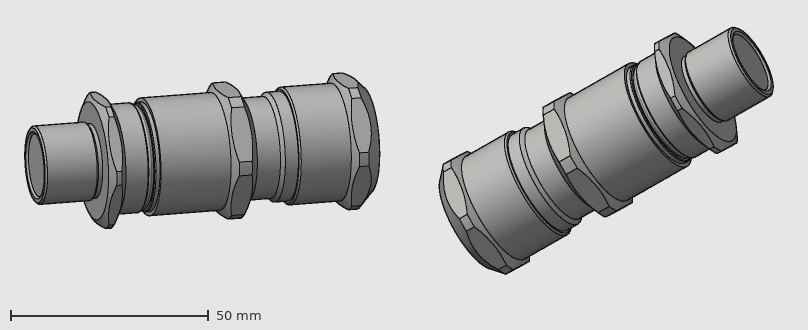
import cadquery as cq
import math

length = 86.9

across_flats = 32.0
corner_diameter = 35.0
collar_bevel_angle = 30.0

back_face_diameter = 27.0
sleeve_diameter = 30.0
sleeve_lip_diameter = 29.0
shoulder_diameter = 28.0
waist_diameter = 26.0
ring_diameter = 27.0
spigot_diameter = 20.0
neck_diameter = 19.0
bore_mouth_diameter = 17.1
bore_floor_diameter = 16.0

back_sleeve_start = 7.9
back_sleeve_end = 21.55
shoulder_end = 26.0
middle_collar_start = 32.1
middle_sleeve_start = 39.5
middle_sleeve_end = 58.0
groove_start = 59.3
groove_end = 60.8
front_collar_start = 66.9
front_collar_end = 71.8
spigot_start = 73.35

groove_bevel = 0.3


def bevel_length(large_diameter, small_diameter, angle=45.0):
    """Axial length of a cone between two diameters, at an angle to the end plane."""
    return (large_diameter - small_diameter) / 2 * math.tan(math.radians(angle))


def collar_bevel(end_diameter):
    return bevel_length(corner_diameter, end_diameter, collar_bevel_angle)


def revolve_about_axis(stations):
    """Revolve (distance from back, diameter) stations into a solid around Y."""
    points = [(diameter / 2, length - distance) for distance, diameter in stations]
    first_distance = stations[0][0]
    last_distance = stations[-1][0]
    outline = [(0, length - first_distance)] + points + [(0, length - last_distance)]
    return cq.Workplane("XY").polyline(outline).close().revolve(360, (0, 0, 0), (0, 1, 0))


def hexagon_collar(start, end, start_diameter, end_diameter, start_bevel):
    """Hexagon with flats facing +Z and -Z, turned down at its corners and both ends."""
    turned = revolve_about_axis([
        (start, start_diameter),
        (start + start_bevel, corner_diameter),
        (end - collar_bevel(end_diameter), corner_diameter),
        (end, end_diameter),
    ])
    hexagon = (
        cq.Workplane("XZ", origin=(0, length - start, 0))
        .polygon(6, across_flats / math.cos(math.radians(30)))
        .extrude(end - start)
    )
    return turned.intersect(hexagon)


def back_body():
    """Sleeve behind the middle collar, stepping down to the waist."""
    lip_bevel = bevel_length(sleeve_diameter, sleeve_lip_diameter)
    shoulder_bevel = bevel_length(shoulder_diameter, waist_diameter)
    return revolve_about_axis([
        (back_sleeve_start, sleeve_diameter),
        (back_sleeve_end - lip_bevel, sleeve_diameter),
        (back_sleeve_end, sleeve_lip_diameter),
        (back_sleeve_end, shoulder_diameter),
        (shoulder_end - shoulder_bevel, shoulder_diameter),
        (shoulder_end, waist_diameter),
        (middle_collar_start, waist_diameter),
    ])


def front_body():
    """Sleeve ahead of the middle collar and the grooved shoulder up to the front collar."""
    groove_diameter = waist_diameter
    return revolve_about_axis([
        (middle_sleeve_start, sleeve_diameter),
        (middle_sleeve_end, sleeve_diameter),
        (middle_sleeve_end, shoulder_diameter),
        (groove_start - groove_bevel, shoulder_diameter),
        (groove_start, shoulder_diameter - 2 * groove_bevel),
        (groove_start, groove_diameter),
        (groove_end, groove_diameter),
        (groove_end, shoulder_diameter - 2 * groove_bevel),
        (groove_end + groove_bevel, shoulder_diameter),
        (front_collar_start, shoulder_diameter),
    ])


def sealing_ring():
    """Round-section ring as wide as the groove it sits in."""
    section_radius = (groove_end - groove_start) / 2
    center_radius = ring_diameter / 2 - section_radius
    center_distance = (groove_start + groove_end) / 2
    return (
        cq.Workplane("XY")
        .center(center_radius, length - center_distance)
        .circle(section_radius)
        .revolve(360, (-center_radius, 0, 0), (-center_radius, 1, 0))
    )


def spigot():
    """Undercut neck and spigot with a beveled tip and a shallow conical recess."""
    bevel = bevel_length(spigot_diameter, neck_diameter)
    recess_depth = bevel_length(bore_mouth_diameter, bore_floor_diameter)
    outside = revolve_about_axis([
        (front_collar_end, neck_diameter),
        (spigot_start - bevel, neck_diameter),
        (spigot_start, spigot_diameter),
        (length - bevel, spigot_diameter),
        (length, neck_diameter),
    ])
    recess = revolve_about_axis([
        (length - recess_depth, bore_floor_diameter),
        (length, bore_mouth_diameter),
    ])
    return outside.cut(recess)


back_collar = hexagon_collar(
    0,
    back_sleeve_start,
    back_face_diameter,
    sleeve_diameter,
    bevel_length(corner_diameter, back_face_diameter),
)
middle_collar = hexagon_collar(
    middle_collar_start,
    middle_sleeve_start,
    waist_diameter,
    sleeve_diameter,
    collar_bevel(waist_diameter),
)
front_collar = hexagon_collar(
    front_collar_start,
    front_collar_end,
    shoulder_diameter,
    sleeve_diameter,
    collar_bevel(shoulder_diameter),
)

result = (
    back_collar
    .union(back_body())
    .union(middle_collar)
    .union(front_body())
    .union(sealing_ring())
    .union(front_collar)
    .union(spigot())
)